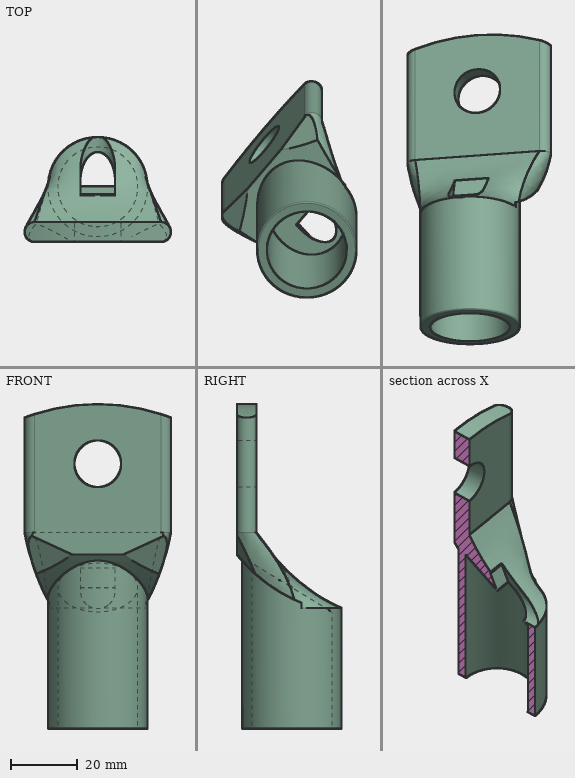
import cadquery as cq
import math

TOTAL_HEIGHT = 97.6
PALM_WIDTH = 44.0
PALM_DEPTH = 6.0
PALM_EDGE_RADIUS = PALM_DEPTH / 2
PALM_BOTTOM = 59.0
PALM_CROWN_RISE = 4.1
TOTAL_DEPTH = 31.5

BOLT_HOLE_DIAMETER = 14.0
BOLT_HOLE_HEIGHT = 79.65

BARREL_RADIUS = 30.0 / 2
BORE_RADIUS = 24.0 / 2
MOUTH_FILLET = 0.4
BARREL_TOP = 36.3

PALM_FRONT = BARREL_RADIUS - TOTAL_DEPTH
PALM_BACK = PALM_FRONT + PALM_DEPTH
PALM_HALF_WIDTH = PALM_WIDTH / 2

NECK_HEIGHT = 45.9
NECK_BACK = 0.6
NECK_BACK_CORNER = (16.0, -2.0)
NECK_SIDE = (17.6, -4.9)
NECK_FRONT_CORNER = (15.1, -17.1)
NECK_FRONT = -17.6

BACK_CORNER_ANGLE = 5.0
FRONT_CORNER_ANGLE = -60.0

SEAM_BACK = (2.9, 37.9)
SEAM_MIDDLE = (-5.3, 42.2)
SEAM_FRONT = (PALM_FRONT, 52.4)

FACET_INNER = (7.8, PALM_FRONT, 52.4)
FACET_OUTER = (PALM_HALF_WIDTH, PALM_FRONT, 59.0)
FACET_LOW = (16.8, -12.4, 48.5)

BORE_END_HEIGHT_AT_AXIS = 42.5
BORE_END_RISE = 0.61

WINDOW_WIDTH = 10.3
WINDOW_BOTTOM = 36.1
WINDOW_END_OUTER = (-2.5, 48.3)
WINDOW_END_INNER = (0.2, 42.5)



def mirrored_section(height, back, back_corner, side, front_corner, front):
    """Closed XY outline, symmetric about X = 0: back, left side, front, right side."""

    def at(point, mirror=1):
        return cq.Vector(mirror * point[0], point[1], height)

    def span(start, middle_y, end):
        if middle_y == start.y:
            return cq.Edge.makeLine(start, end)
        return cq.Edge.makeThreePointArc(start, cq.Vector(0, middle_y, height), end)

    return cq.Wire.assembleEdges([
        span(at(back_corner), back, at(back_corner, -1)),
        cq.Edge.makeThreePointArc(at(back_corner, -1), at(side, -1), at(front_corner, -1)),
        span(at(front_corner, -1), front, at(front_corner)),
        cq.Edge.makeThreePointArc(at(front_corner), at(side), at(back_corner)),
    ])


def on_barrel(degrees):
    angle = math.radians(degrees)
    return (BARREL_RADIUS * math.cos(angle), BARREL_RADIUS * math.sin(angle))


def below_seam():
    """Block filling everything under the neck's curved seam."""
    return (
        cq.Workplane("YZ")
        .moveTo(PALM_FRONT, 0)
        .lineTo(BARREL_RADIUS, 0)
        .lineTo(BARREL_RADIUS, BARREL_TOP)
        .lineTo(SEAM_BACK[0], BARREL_TOP)
        .lineTo(*SEAM_BACK)
        .threePointArc(SEAM_MIDDLE, SEAM_FRONT)
        .close()
        .extrude(PALM_HALF_WIDTH, both=True)
    )


def barrel():
    tube = cq.Workplane("XY").circle(BARREL_RADIUS).extrude(PALM_BOTTOM)
    return tube.faces("<Z").edges().fillet(MOUTH_FILLET).intersect(below_seam())


def neck():
    palm_corner = PALM_HALF_WIDTH - PALM_EDGE_RADIUS
    sections = [
        mirrored_section(
            BARREL_TOP,
            BARREL_RADIUS,
            on_barrel(BACK_CORNER_ANGLE),
            on_barrel((BACK_CORNER_ANGLE + FRONT_CORNER_ANGLE) / 2),
            on_barrel(FRONT_CORNER_ANGLE),
            -BARREL_RADIUS,
        ),
        mirrored_section(
            NECK_HEIGHT,
            NECK_BACK,
            NECK_BACK_CORNER,
            NECK_SIDE,
            NECK_FRONT_CORNER,
            NECK_FRONT,
        ),
        mirrored_section(
            PALM_BOTTOM,
            PALM_BACK,
            (palm_corner, PALM_BACK),
            (PALM_HALF_WIDTH, PALM_BACK - PALM_EDGE_RADIUS),
            (palm_corner, PALM_FRONT),
            PALM_FRONT,
        ),
    ]
    flare = cq.Workplane(cq.Solid.makeLoft(sections))
    behind_palm_front = cq.Workplane("XY").box(
        PALM_WIDTH, TOTAL_DEPTH, PALM_BOTTOM, centered=(True, False, False)
    ).translate((0, PALM_FRONT, 0))
    return flare.intersect(behind_palm_front).cut(below_seam())


def palm():
    shoulder = TOTAL_HEIGHT - PALM_CROWN_RISE
    face = (
        cq.Workplane("XZ", origin=(0, PALM_BACK, 0))
        .moveTo(-PALM_HALF_WIDTH, PALM_BOTTOM)
        .lineTo(PALM_HALF_WIDTH, PALM_BOTTOM)
        .lineTo(PALM_HALF_WIDTH, shoulder)
        .threePointArc((0, TOTAL_HEIGHT), (-PALM_HALF_WIDTH, shoulder))
        .close()
        .extrude(PALM_DEPTH)
    )
    bar = (
        cq.Workplane("XY", origin=(0, PALM_BACK - PALM_EDGE_RADIUS, PALM_BOTTOM))
        .slot2D(PALM_WIDTH, PALM_DEPTH)
        .extrude(TOTAL_HEIGHT - PALM_BOTTOM)
    )
    return bar.intersect(face)


def bolt_hole():
    return (
        cq.Workplane("XZ", origin=(0, PALM_BACK, 0))
        .center(0, BOLT_HOLE_HEIGHT)
        .circle(BOLT_HOLE_DIAMETER / 2)
        .extrude(PALM_DEPTH)
    )


def corner_facets():
    """Two mirrored blocks whose inner faces bevel the lower front corners of the palm."""
    inner, outer, low = (cq.Vector(*point) for point in (FACET_INNER, FACET_OUTER, FACET_LOW))
    along = outer - inner
    outward = (low - inner).cross(along)
    block_side = 2 * PALM_WIDTH
    block = cq.Workplane(cq.Plane(inner, along, outward)).rect(block_side, block_side).extrude(PALM_DEPTH)
    return block.union(block.mirror("YZ"))


def bore():
    lift = BORE_END_RISE * BORE_RADIUS
    profile = [
        (-BORE_RADIUS, 0),
        (BORE_RADIUS, 0),
        (BORE_RADIUS, BORE_END_HEIGHT_AT_AXIS - lift),
        (-BORE_RADIUS, BORE_END_HEIGHT_AT_AXIS + lift),
    ]
    slanted_end = cq.Workplane("YZ").polyline(profile).close().extrude(BORE_RADIUS, both=True)
    return cq.Workplane("XY").circle(BORE_RADIUS).extrude(PALM_BOTTOM).intersect(slanted_end)


def inspection_window():
    """Round-bottomed slot from the back, stopped by a leaning end wall."""
    radius = WINDOW_WIDTH / 2
    spring = WINDOW_BOTTOM + radius
    slot = (
        cq.Workplane("XZ", origin=(0, BARREL_RADIUS, 0))
        .moveTo(-radius, PALM_BOTTOM)
        .lineTo(-radius, spring)
        .threePointArc((0, WINDOW_BOTTOM), (radius, spring))
        .lineTo(radius, PALM_BOTTOM)
        .close()
        .extrude(TOTAL_DEPTH)
    )
    reach = (
        cq.Workplane("YZ")
        .polyline([
            WINDOW_END_OUTER,
            WINDOW_END_INNER,
            (WINDOW_END_INNER[0], WINDOW_BOTTOM),
            (BARREL_RADIUS, WINDOW_BOTTOM),
            (BARREL_RADIUS, WINDOW_END_OUTER[1]),
        ])
        .close()
        .extrude(radius, both=True)
    )
    return slot.intersect(reach)


body = barrel().union(neck().union(palm()).cut(corner_facets()))
result = body.cut(bolt_hole()).cut(bore()).cut(inspection_window())